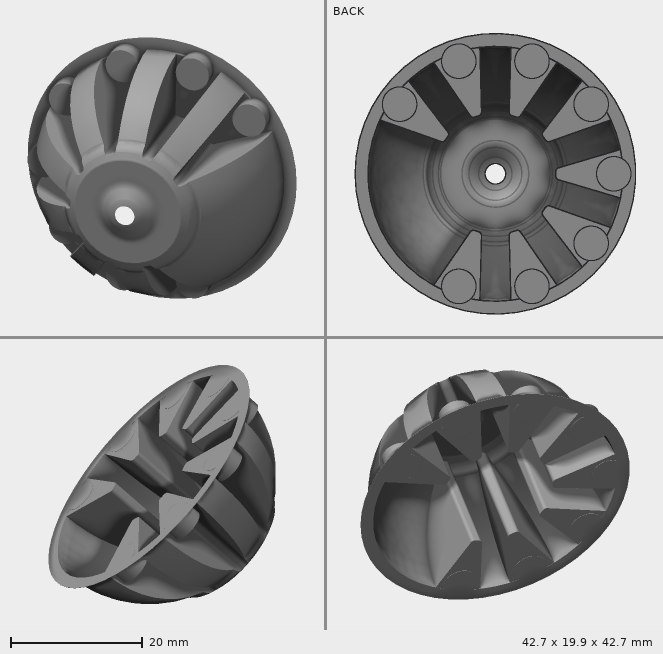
import cadquery as cq
import math


TOTAL_HEIGHT = 19.85

SHEET_THICKNESS = 0.05
FLANGE_RADIUS = 21.35

DOME_RADIUS = 19.4
DOME_MIDDLE_ANGLE = 30

SHOULDER_OUTER_RADIUS = 11.0
SHOULDER_STEP_RADIUS = 10.4
SHOULDER_STEP_HEIGHT = 16.65
SHOULDER_ROUND_RADIUS = 9.55
SHOULDER_ROUND_HEIGHT = 17.65
CROWN_EDGE_RADIUS = 8.7
CROWN_EDGE_HEIGHT = 18.1
CROWN_FLAT_RADIUS = 8.35
CROWN_HEIGHT = 18.25

NOZZLE_FOOT_RADIUS = 5.1
NOZZLE_CONE_BASE_RADIUS = 4.05
NOZZLE_CONE_BASE_HEIGHT = 18.55
NOZZLE_CONE_TIP_RADIUS = 2.55
NOZZLE_CONE_TIP_HEIGHT = 19.5
BORE_RADIUS = 1.55

STEP_FILLET_SAG = 0.1
SHOULDER_ROUND_SAG = 0.12
CROWN_EDGE_SAG = 0.02
NOZZLE_FOOT_SAG = 0.08
NOZZLE_TIP_SAG = 0.06

PLACES_AROUND = 10
USED_PLACES = range(1, 9)
POCKET_FLOOR_HEIGHT = 2 * SHEET_THICKNESS
POCKET_TIP_RADIUS = 9.2
POCKET_TIP_HALF_WIDTH = 0.76
POCKET_HALF_ANGLE = 16.5
POCKET_TIP_FILLET = 0.55
LIP_HEIGHT = 0.6
PEG_DIAMETER = 5.25
PEG_CIRCLE_RADIUS = 18.0
PEG_TOP_HEIGHT = 2.65


def dome_height(radius):
    """Height of the spherical dome at a distance from the axis."""
    return SHEET_THICKNESS + math.sqrt(DOME_RADIUS**2 - radius**2)


def arc_middle(start, end, sag):
    """Middle of an arc; a positive sag bulges outward."""
    along_x = end[0] - start[0]
    along_y = end[1] - start[1]
    chord = math.hypot(along_x, along_y)
    middle_x = (start[0] + end[0]) / 2 - sag * along_y / chord
    middle_y = (start[1] + end[1]) / 2 + sag * along_x / chord
    return (middle_x, middle_y)


def make_dome(inset):
    """Solid dome with its shoulder, crown and nozzle, drawn in from the outer skin by an inset."""

    def profile_point(radius, height):
        return (radius - inset, inset - height)

    dome_foot = profile_point(DOME_RADIUS, SHEET_THICKNESS)
    dome_middle_radius = DOME_RADIUS * math.cos(math.radians(DOME_MIDDLE_ANGLE))
    dome_middle = profile_point(dome_middle_radius, dome_height(dome_middle_radius))
    dome_end = profile_point(SHOULDER_OUTER_RADIUS, dome_height(SHOULDER_OUTER_RADIUS))
    step = profile_point(SHOULDER_STEP_RADIUS, SHOULDER_STEP_HEIGHT)
    shoulder = profile_point(SHOULDER_ROUND_RADIUS, SHOULDER_ROUND_HEIGHT)
    crown_edge = profile_point(CROWN_EDGE_RADIUS, CROWN_EDGE_HEIGHT)
    crown_flat = profile_point(CROWN_FLAT_RADIUS, CROWN_HEIGHT)
    nozzle_foot = profile_point(NOZZLE_FOOT_RADIUS, CROWN_HEIGHT)
    cone_base = profile_point(NOZZLE_CONE_BASE_RADIUS, NOZZLE_CONE_BASE_HEIGHT)
    cone_tip = profile_point(NOZZLE_CONE_TIP_RADIUS, NOZZLE_CONE_TIP_HEIGHT)
    bore_mouth = profile_point(BORE_RADIUS, TOTAL_HEIGHT)

    section = (
        cq.Workplane("XY")
        .moveTo(0, dome_foot[1])
        .lineTo(*dome_foot)
        .threePointArc(dome_middle, dome_end)
        .threePointArc(arc_middle(dome_end, step, -STEP_FILLET_SAG), step)
        .threePointArc(arc_middle(step, shoulder, SHOULDER_ROUND_SAG), shoulder)
        .lineTo(*crown_edge)
        .threePointArc(arc_middle(crown_edge, crown_flat, CROWN_EDGE_SAG), crown_flat)
        .lineTo(*nozzle_foot)
        .threePointArc(arc_middle(nozzle_foot, cone_base, -NOZZLE_FOOT_SAG), cone_base)
        .lineTo(*cone_tip)
        .threePointArc(arc_middle(cone_tip, bore_mouth, NOZZLE_TIP_SAG), bore_mouth)
        .lineTo(0, bore_mouth[1])
        .close()
    )
    return section.revolve(360, (0, 0, 0), (0, 1, 0))


def pocket_half_width(distance):
    """Half width of a wedge pocket at a distance from the axis."""
    widening = math.tan(math.radians(POCKET_HALF_ANGLE))
    return POCKET_TIP_HALF_WIDTH + (distance - POCKET_TIP_RADIUS) * widening


def make_pocket(margin):
    """Cutter for the wedge pocket on the +X side, grown on its walls and floor by a margin."""
    outer_half_width = pocket_half_width(FLANGE_RADIUS)
    outline = [
        (POCKET_TIP_RADIUS, -POCKET_TIP_HALF_WIDTH),
        (FLANGE_RADIUS, -outer_half_width),
        (FLANGE_RADIUS, outer_half_width),
        (POCKET_TIP_RADIUS, POCKET_TIP_HALF_WIDTH),
    ]
    floor_height = POCKET_FLOOR_HEIGHT - margin
    wedge = cq.Workplane("XZ", origin=(0, -floor_height, 0)).polyline(outline).close()
    if margin > 0:
        wedge = wedge.offset2D(margin, "intersection")
    pocket = wedge.extrude(TOTAL_HEIGHT - floor_height)
    return pocket.edges("|Y and <X").fillet(POCKET_TIP_FILLET + margin)


def make_lip():
    """Low curved lip closing the +Z half of the mouth of the +X side pocket."""
    sweep = math.degrees(math.asin(pocket_half_width(DOME_RADIUS) / DOME_RADIUS))
    return (
        cq.Workplane("XY")
        .moveTo(DOME_RADIUS - SHEET_THICKNESS, 0)
        .rect(SHEET_THICKNESS, -LIP_HEIGHT, centered=False)
        .revolve(sweep, (0, 0, 0), (0, -1, 0))
    )


def make_cylinder(radius, height):
    """Cylinder on the axis, rising from the back of the flange."""
    return cq.Workplane("XZ").circle(radius).extrude(height)


def at_place(shape, place):
    """Turn a +X side shape about the axis to a numbered place, counted from +X toward +Z."""
    angle = place * 360 / PLACES_AROUND
    return shape.rotate((0, 0, 0), (0, -1, 0), angle)


def cut_pockets(dome, margin):
    """Dome with a wedge pocket cut at every used place."""
    pocket = make_pocket(margin)
    for place in USED_PLACES:
        dome = dome.cut(at_place(pocket, place))
    return dome


outer_skin = cut_pockets(make_dome(0), 0)
inner_skin = cut_pockets(make_dome(SHEET_THICKNESS), SHEET_THICKNESS)
flange = make_cylinder(FLANGE_RADIUS, SHEET_THICKNESS)
bore = make_cylinder(BORE_RADIUS, TOTAL_HEIGHT)
peg = make_cylinder(PEG_DIAMETER / 2, PEG_TOP_HEIGHT).translate((PEG_CIRCLE_RADIUS, 0, 0))
lip = make_lip()

result = flange.union(outer_skin).cut(inner_skin).cut(bore)
for place in USED_PLACES:
    result = result.union(at_place(lip, place)).union(at_place(peg, place))